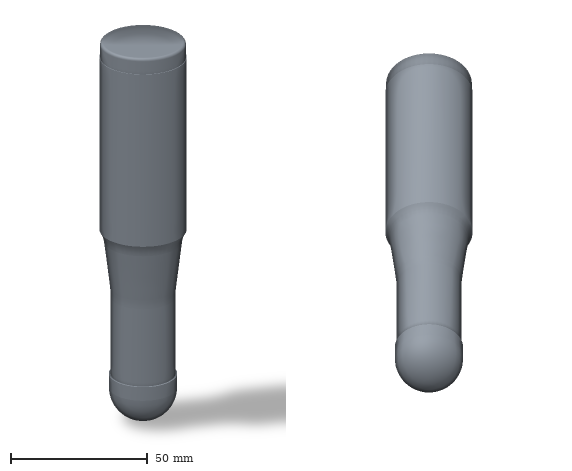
import cadquery as cq

TOTAL_LENGTH = 150.6
GRIP_RADIUS = 16.0
END_BAND_RADIUS = 15.7
NECK_DIAMETER = 23.6
NECK_RADIUS = NECK_DIAMETER / 2
TIP_RADIUS = 12.5

TIP_HEIGHT = 17.9

NECK_TOP_Z = 48.8
TAPER_BOTTOM_Z = 52.4
TAPER_TOP_Z = 71.1
GRIP_BOTTOM_Z = 75.6
END_BAND_HEIGHT = 6.2
END_FILLET = 1.0

TAPER_BOTTOM_RADIUS = 12.0
TAPER_TOP_RADIUS = 14.3


def make_handle():
    """Solid turned handle: neck, blended taper, grip and rounded end band."""
    end_band_z = TOTAL_LENGTH - END_BAND_HEIGHT
    profile = (
        cq.Workplane("XZ")
        .moveTo(0, TIP_HEIGHT)
        .lineTo(NECK_RADIUS, TIP_HEIGHT)
        .lineTo(NECK_RADIUS, NECK_TOP_Z)
        .tangentArcPoint((TAPER_BOTTOM_RADIUS, TAPER_BOTTOM_Z), relative=False)
        .lineTo(TAPER_TOP_RADIUS, TAPER_TOP_Z)
        .tangentArcPoint((GRIP_RADIUS, GRIP_BOTTOM_Z), relative=False)
        .lineTo(GRIP_RADIUS, end_band_z)
        .lineTo(END_BAND_RADIUS, end_band_z)
        .lineTo(END_BAND_RADIUS, TOTAL_LENGTH)
        .lineTo(0, TOTAL_LENGTH)
        .close()
    )
    handle = profile.revolve(360, (0, 0), (0, 1))
    return handle.faces(">Z").edges().fillet(END_FILLET)


def make_tip():
    """Round-nosed tip whose flat top touches the end of the neck."""
    return (
        cq.Workplane("XZ")
        .moveTo(0, 0)
        .radiusArc((TIP_RADIUS, TIP_RADIUS), -TIP_RADIUS)
        .lineTo(TIP_RADIUS, TIP_HEIGHT)
        .lineTo(0, TIP_HEIGHT)
        .close()
        .revolve(360, (0, 0), (0, 1))
    )


handle = make_handle()
tip = make_tip()

result = cq.Compound.makeCompound([handle.val(), tip.val()])